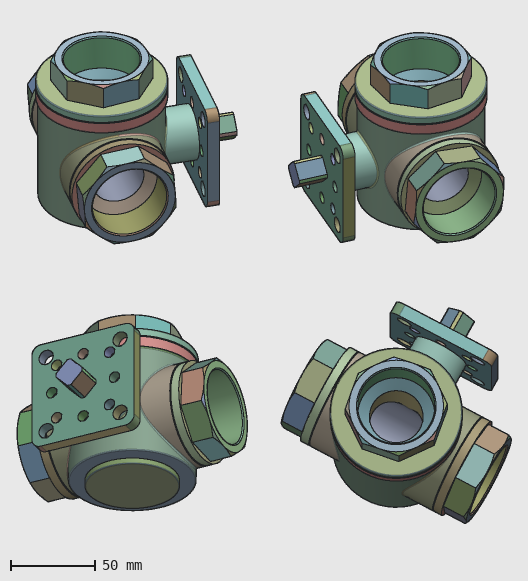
import cadquery as cq
import math

BODY_RADIUS = 38.0
BODY_BOTTOM = -34.2
EDGE_ROUND = 0.6
FOOT_RADIUS = 28.1
FOOT_BOTTOM = -38.0
FOOT_EDGE_ROUND = 0.5
SIDE_NECK_RADIUS = 31.5
JOINT_FILLET = 1.0

PORT_REACH = 62.5
NUT_LENGTH = 15
NUT_SIDES = 8
NUT_ACROSS_FLATS = 56.0
TOP_NUT_TURN = 31.4
SIDE_NUT_TURN = 27.1
NUT_FACE_RADIUS = 28.0
NUT_CHAMFER_ANGLE = 30
FLANGE_FACE = PORT_REACH - NUT_LENGTH
SIDE_GROOVE = 41.8
TOP_FLANGE_RADIUS = 39.2
TOP_FLANGE_BOTTOM = 35.5
TOP_GROOVE = 42.5
GROOVE_WIDTH = 0.5
GROOVE_DEPTH = 0.4

SOCKET_RADIUS = 22.9
SOCKET_DEPTH = 22.4
SOCKET_MOUTH_CHAMFER = 0.8
PASSAGE_RADIUS = 15.9
TAPER_DEPTH = 3.8

ACTUATOR_NECK_RADIUS = 17.0
PLATE_FRONT = 55.5
PLATE_THICKNESS = 7.6
PLATE_SIDE = 68.5
PLATE_CORNER_RADIUS = 6.0
STEM_END = 81.0
STEM_SQUARE = 14.0
STEM_TURN = 45
STEM_CORNER_RADIUS = 8.8
BOLT_PATTERNS = [
    (21.0, 6.9, 0),
    (25, 6.9, 45),
    (35, 9.4, 45),
]
HOLES_PER_PATTERN = 4


def disc(radius, bottom, top):
    return cq.Workplane("XY").workplane(offset=bottom).circle(radius).extrude(top - bottom)


def along_y(radius, start, end):
    return cq.Workplane("XZ", origin=(0, start, 0)).circle(radius).extrude(start - end)


def both_sides(port):
    """Tip a port built along +Z over to +X and add its mirror image on -X."""
    right = port.rotate((0, 0, 0), (0, 1, 0), 90)
    return right.union(right.mirror("YZ"))


def barrel():
    """The solid body with its top flange, necks and foot."""
    body = disc(BODY_RADIUS, BODY_BOTTOM, TOP_FLANGE_BOTTOM)
    body = body.union(disc(TOP_FLANGE_RADIUS, TOP_FLANGE_BOTTOM, FLANGE_FACE))
    body = body.edges(cq.selectors.RadiusNthSelector(0)).fillet(EDGE_ROUND)
    body = body.faces(">Z").edges().fillet(EDGE_ROUND)
    body = body.union(both_sides(disc(SIDE_NECK_RADIUS, 0, FLANGE_FACE)))
    body = body.union(along_y(ACTUATOR_NECK_RADIUS, 0, PLATE_FRONT))
    body = body.edges("%BSPLINE or %OTHER").fillet(JOINT_FILLET)
    foot = disc(FOOT_RADIUS, FOOT_BOTTOM, 0).faces("<Z").edges().fillet(FOOT_EDGE_ROUND)
    return body.union(foot)


def groove(radius, level):
    """A thin ring to cut into a disc of the given radius around +Z."""
    bottom = level - GROOVE_WIDTH / 2
    top = level + GROOVE_WIDTH / 2
    return disc(radius + GROOVE_DEPTH, bottom, top).cut(disc(radius - GROOVE_DEPTH, bottom, top))


def nut(turn):
    """An eight-sided nut at the end of a +Z port, its outer corners chamfered by a cone."""
    corner_diameter = NUT_ACROSS_FLATS / math.cos(math.pi / NUT_SIDES)
    prism = (
        cq.Workplane("XY")
        .workplane(offset=FLANGE_FACE)
        .polygon(NUT_SIDES, corner_diameter)
        .extrude(NUT_LENGTH)
        .rotate((0, 0, 0), (0, 0, 1), turn)
    )
    slope = math.tan(math.radians(NUT_CHAMFER_ANGLE))
    base_radius = NUT_FACE_RADIUS + NUT_LENGTH / slope
    cone = (
        cq.Workplane("XZ")
        .moveTo(0, FLANGE_FACE)
        .lineTo(base_radius, FLANGE_FACE)
        .lineTo(NUT_FACE_RADIUS, PORT_REACH)
        .lineTo(0, PORT_REACH)
        .close()
        .revolve()
    )
    return prism.intersect(cone)


def port_bore():
    """The space inside a +Z port, from the centre of the valve to the mouth."""
    socket_end = PORT_REACH - SOCKET_DEPTH
    return (
        cq.Workplane("XZ")
        .lineTo(PASSAGE_RADIUS, 0)
        .lineTo(PASSAGE_RADIUS, socket_end - TAPER_DEPTH)
        .lineTo(SOCKET_RADIUS, socket_end)
        .lineTo(SOCKET_RADIUS, PORT_REACH - SOCKET_MOUTH_CHAMFER)
        .lineTo(SOCKET_RADIUS + SOCKET_MOUTH_CHAMFER, PORT_REACH)
        .lineTo(0, PORT_REACH)
        .close()
        .revolve()
    )


def mounting_plate():
    plate = (
        cq.Workplane("XZ", origin=(0, PLATE_FRONT, 0))
        .rect(PLATE_SIDE, PLATE_SIDE)
        .extrude(-PLATE_THICKNESS)
        .edges("|Y")
        .fillet(PLATE_CORNER_RADIUS)
    )
    for circle_radius, hole_diameter, first_angle in BOLT_PATTERNS:
        holes = (
            cq.Workplane("XZ", origin=(0, PLATE_FRONT, 0))
            .polarArray(circle_radius, first_angle, 360, HOLES_PER_PATTERN)
            .circle(hole_diameter / 2)
            .extrude(-PLATE_THICKNESS)
        )
        plate = plate.cut(holes)
    return plate


def stem():
    """A square bar with its corners turned round."""
    square = (
        cq.Workplane("XZ", origin=(0, PLATE_FRONT, 0))
        .transformed(rotate=(0, 0, STEM_TURN))
        .rect(STEM_SQUARE, STEM_SQUARE)
        .extrude(PLATE_FRONT - STEM_END)
    )
    return square.intersect(along_y(STEM_CORNER_RADIUS, PLATE_FRONT, STEM_END))


result = barrel().union(nut(TOP_NUT_TURN))
result = result.cut(groove(TOP_FLANGE_RADIUS, TOP_GROOVE)).cut(port_bore())
result = result.union(both_sides(nut(SIDE_NUT_TURN)))
result = result.cut(both_sides(groove(SIDE_NECK_RADIUS, SIDE_GROOVE)))
result = result.cut(both_sides(port_bore()))
result = result.union(mounting_plate()).union(stem())